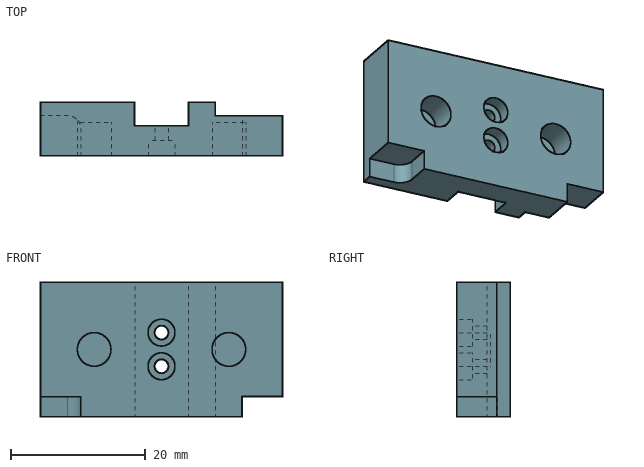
import cadquery as cq

length = 36.0
thickness = 8.0
height = 20.0

slot_left = 14.0
slot_right = 22.0
slot_depth = 3.5
step_left = 26.0
step_depth = 2.0

notch_size = 6.0
notch_height = 3.0
notch_radius = 2.0

center_x = length / 2
center_z = height / 2
socket_diameter = 5.0
socket_spacing = 20.0
socket_depth = 5.0
screw_spacing = 5.0
screw_diameter = 2.0
counterbore_diameter = 4.0
counterbore_depth = 2.3


def box(x_range, y_range, z_range):
    """Box spanning the given start and end on each axis."""
    spans = [end - start for start, end in (x_range, y_range, z_range)]
    corner = (x_range[0], y_range[0], z_range[0])
    return cq.Workplane("XY").box(*spans, centered=False).translate(corner)


def bore(x, z, diameter, depth):
    """Cylinder running from the front face into the block."""
    return cq.Workplane("XZ", origin=(x, 0, z)).circle(diameter / 2).extrude(-depth)


result = box((0, length), (0, thickness), (0, height))

result = result.cut(box((slot_left, slot_right), (thickness - slot_depth, thickness), (0, height)))
result = result.cut(box((step_left, length), (thickness - step_depth, thickness), (0, height)))

left_notch = box((0, notch_size), (0, notch_size), (0, notch_height))
left_notch = left_notch.edges("|Z and >X and >Y").fillet(notch_radius)
result = result.cut(left_notch)

result = result.cut(box((length - notch_size, length), (0, thickness), (0, notch_height)))

for side in (-1, 1):
    socket_x = center_x + side * socket_spacing / 2
    result = result.cut(bore(socket_x, center_z, socket_diameter, socket_depth))

    screw_z = center_z + side * screw_spacing / 2
    result = result.cut(bore(center_x, screw_z, counterbore_diameter, counterbore_depth))
    result = result.cut(bore(center_x, screw_z, screw_diameter, thickness))